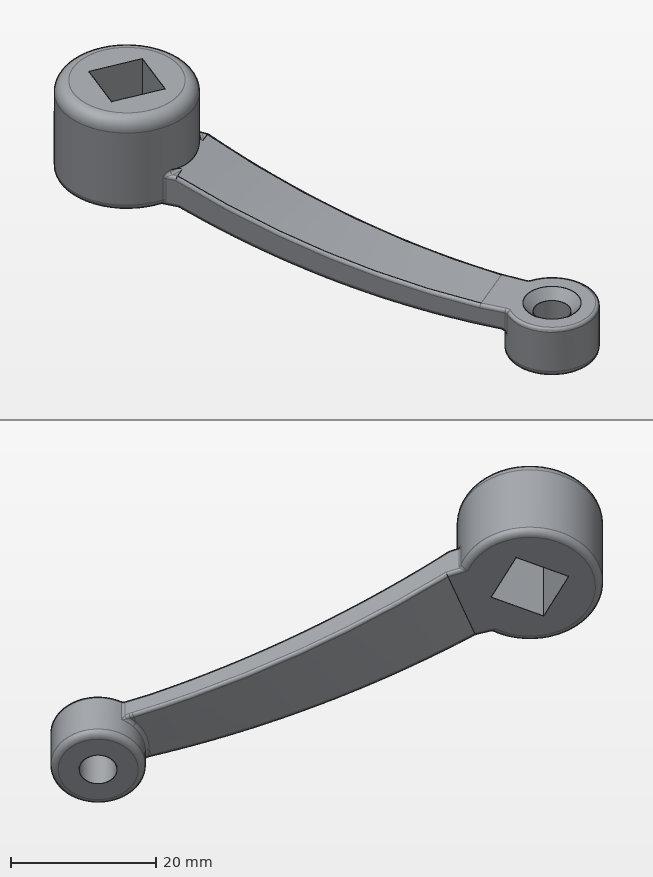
import cadquery as cq
hub_diameter = 20.0
hub_height = 15.0
hub_bottom_z = 14.0
hub_top_fillet = 2.0
hub_bottom_fillet = 1.0
drive_square = 8.0
drive_angle = 45.0

boss_diameter = 13.0
boss_height = 8.0
boss_x = 63.0
boss_bottom_fillet = 1.0
knob_hole_diameter = 5.2
countersink_diameter = 8.0
countersink_angle = 90.0

hub_radius = hub_diameter / 2
arm_hub_height = 5.0
arm_boss_height = 3.5
upper_curve_radius = 120.0
arm_top_flat_x = 54.0
arm_hub_width = 11.9
arm_bend_x = 9.7
arm_boss_width = 7.7
edge_fillet = 0.5
joint_fillet = 0.5

boss_side_x = boss_x - boss_diameter / 2
arm_start_x = hub_radius / 2
arm_end_x = boss_x
arm_top_z = hub_bottom_z + arm_hub_height
arm_end_bottom_z = boss_height - arm_boss_height
lower_drop = hub_bottom_z - arm_end_bottom_z
lower_run = boss_side_x - hub_radius
lower_curve_radius = (lower_run**2 + lower_drop**2) / (2 * lower_drop)


def make_hub():
    hub = cq.Workplane("XY").workplane(offset=hub_bottom_z).circle(hub_radius).extrude(hub_height)
    hub = hub.faces(">Z").edges().fillet(hub_top_fillet)
    return hub.faces("<Z").edges().fillet(hub_bottom_fillet)


def make_boss():
    boss = cq.Workplane("XY").center(boss_x, 0).circle(boss_diameter / 2).extrude(boss_height)
    return boss.faces("<Z").edges().fillet(boss_bottom_fillet)


def make_arm():
    """Cross the curved side profile with the tapered plan outline."""
    side_profile = (
        cq.Workplane("XZ")
        .moveTo(arm_start_x, hub_bottom_z)
        .lineTo(hub_radius, hub_bottom_z)
        .radiusArc((boss_side_x, arm_end_bottom_z), -lower_curve_radius)
        .lineTo(arm_end_x, arm_end_bottom_z)
        .lineTo(arm_end_x, boss_height)
        .lineTo(arm_top_flat_x, boss_height)
        .radiusArc((arm_bend_x, arm_top_z), upper_curve_radius)
        .lineTo(arm_start_x, arm_top_z)
        .close()
        .extrude(hub_radius, both=True)
    )
    taper = (arm_hub_width - arm_boss_width) / (arm_end_x - hub_radius) / 2
    start_half_width = arm_hub_width / 2 + taper * (hub_radius - arm_start_x)
    plan = (
        cq.Workplane("XY")
        .moveTo(arm_start_x, -start_half_width)
        .lineTo(arm_end_x, -arm_boss_width / 2)
        .lineTo(arm_end_x, arm_boss_width / 2)
        .lineTo(arm_start_x, start_half_width)
        .close()
        .extrude(hub_bottom_z + hub_height)
    )
    return side_profile.intersect(plan)


def fillet_boss_joint(body):
    """Fill the inside corner where the arm's flanks and underside run into the boss wall."""
    joint_zone = cq.selectors.BoxSelector(
        (boss_side_x, -hub_radius, arm_end_bottom_z - joint_fillet),
        (boss_x, hub_radius, boss_height - edge_fillet),
    )
    return body.edges("|Z or %CIRCLE").edges(joint_zone).fillet(joint_fillet)


def round_long_edges(body):
    """Round the long arm edges and the upper boss rim as one chain."""
    rounded_zone = cq.selectors.BoxSelector(
        (arm_start_x, -hub_radius, arm_end_bottom_z + edge_fillet),
        (boss_x + boss_diameter, hub_radius, hub_bottom_z + hub_height),
    )
    return body.edges("not (|Y or |Z)").edges(rounded_zone).fillet(edge_fillet)


def fillet_hub_joint(body):
    """Fill the inside corner where the arm's flanks and flat top run into the hub wall."""
    joint_zone = cq.selectors.BoxSelector(
        (arm_start_x, -hub_radius, hub_bottom_z + hub_bottom_fillet),
        (hub_radius, hub_radius, arm_top_z + joint_fillet),
    )
    return body.edges("|Z or %CIRCLE").edges(joint_zone).fillet(joint_fillet)


def make_drive_hole():
    return (
        cq.Workplane("XY")
        .rect(drive_square, drive_square)
        .extrude(hub_bottom_z + hub_height)
        .rotate((0, 0, 0), (0, 0, 1), drive_angle)
    )


def drill_knob_hole(body):
    return (
        body.copyWorkplane(cq.Workplane("XY", origin=(boss_x, 0, boss_height)))
        .cskHole(knob_hole_diameter, countersink_diameter, countersink_angle)
    )


crank = make_arm().union(make_boss())
crank = fillet_boss_joint(crank)
crank = round_long_edges(crank)
crank = crank.union(make_hub())
crank = fillet_hub_joint(crank)
crank = crank.cut(make_drive_hole())
result = drill_knob_hole(crank)